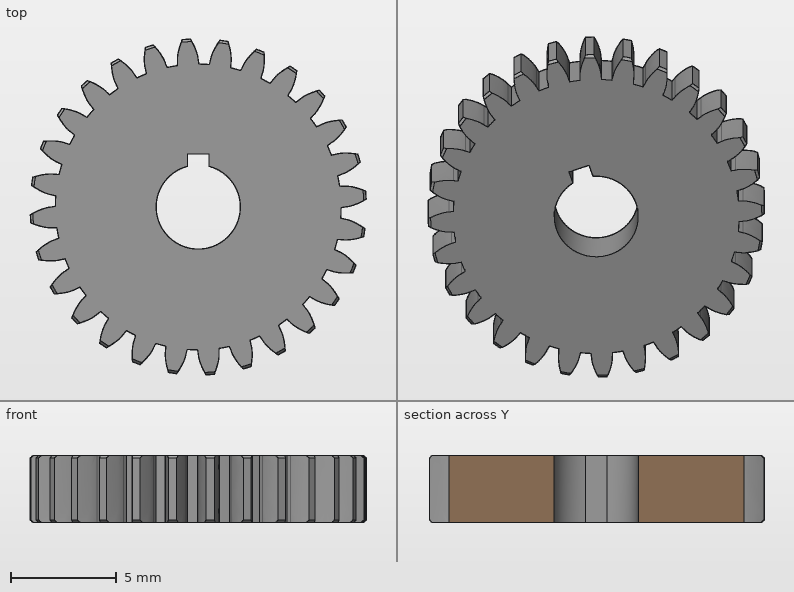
import cadquery as cq
import math

overall_width = 15.86
thickness = 3.17
tooth_count = 28
pressure_angle = math.radians(20)
dedendum_factor = 1.25
root_tooth_width = 1.03
bore_diameter = 3.96
keyway_width = 1.0
keyway_top = 2.49
tip_chamfer_radial = 0.13
tip_chamfer_axial = 0.13
flank_point_count = 6


def involute(angle):
    return math.tan(angle) - angle


tooth_pitch_angle = 2 * math.pi / tooth_count
base_half_angle = tooth_pitch_angle / 4 + involute(pressure_angle)
tip_pressure_angle = math.acos(math.cos(pressure_angle) * tooth_count / (tooth_count + 2))
tip_half_angle = base_half_angle - involute(tip_pressure_angle)

first_tooth_angle = base_half_angle

outer_radius = overall_width / 2 / math.cos(first_tooth_angle - tip_half_angle)
module = 2 * outer_radius / (tooth_count + 2)
pitch_radius = module * tooth_count / 2
base_radius = pitch_radius * math.cos(pressure_angle)
root_radius = pitch_radius - dedendum_factor * module
root_half_angle = math.asin(root_tooth_width / 2 / root_radius)


def polar(radius, angle):
    return (radius * math.cos(angle), radius * math.sin(angle))


def flank_points(centre, side):
    """Involute flank from the base circle to the tip; side is -1 or +1."""
    points = []
    for i in range(flank_point_count):
        radius = base_radius + (outer_radius - base_radius) * (i / (flank_point_count - 1)) ** 2
        half_angle = base_half_angle - involute(math.acos(base_radius / radius))
        points.append(polar(radius, centre + side * half_angle))
    return points


def gear_blank():
    """Toothed disc: straight root walls, involute flanks, arcs at tip and root."""
    outline = cq.Workplane("XY").moveTo(*polar(root_radius, first_tooth_angle - root_half_angle))
    for i in range(tooth_count):
        centre = first_tooth_angle + i * tooth_pitch_angle
        rising = flank_points(centre, -1)
        falling = flank_points(centre, 1)[::-1]
        outline = outline.lineTo(*rising[0])
        outline = outline.spline(rising[1:], includeCurrent=True)
        outline = outline.threePointArc(polar(outer_radius, centre), falling[0])
        outline = outline.spline(falling[1:], includeCurrent=True)
        outline = outline.lineTo(*polar(root_radius, centre + root_half_angle))
        gap_middle = polar(root_radius, centre + tooth_pitch_angle / 2)
        next_root = polar(root_radius, centre + tooth_pitch_angle - root_half_angle)
        outline = outline.threePointArc(gap_middle, next_root)
    return outline.close().extrude(thickness)


def chamfered_envelope():
    """Disc with coned rims that trims both ends of every tooth tip."""
    face_radius = outer_radius - tip_chamfer_radial
    clearance = 0.16
    slope = tip_chamfer_axial / tip_chamfer_radial
    rim_radius = outer_radius + clearance
    cone_height = slope * (rim_radius - face_radius)
    profile = [
        (0, 0),
        (face_radius, 0),
        (rim_radius, cone_height),
        (rim_radius, thickness - cone_height),
        (face_radius, thickness),
        (0, thickness),
    ]
    return cq.Workplane("XZ").polyline(profile).close().revolve(360, (0, 0), (0, 1))


def keyed_bore():
    bore = cq.Workplane("XY").circle(bore_diameter / 2).extrude(thickness)
    keyway = cq.Workplane("XY").box(keyway_width, keyway_top, thickness, centered=(True, False, False))
    return bore.union(keyway)


gear = gear_blank().intersect(chamfered_envelope()).cut(keyed_bore())
result = gear.translate((0, 0, -thickness / 2))